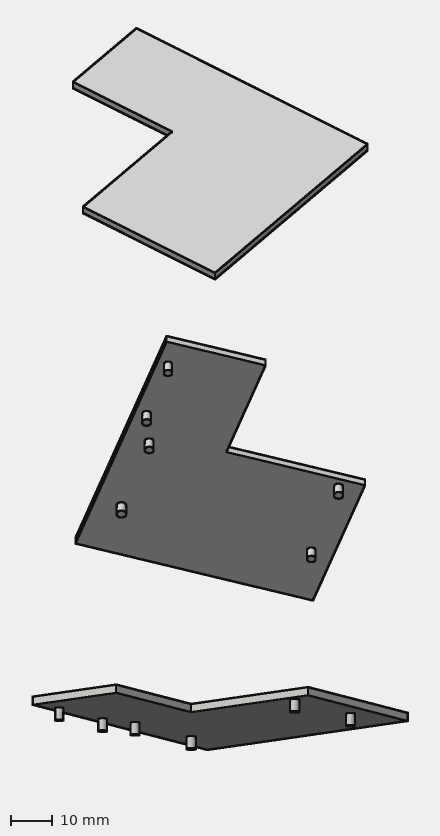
import cadquery as cq

plate_length = 70.0
plate_width = 60.0
plate_thickness = 2.0
notch_length = 30.0
notch_width = 35.0

total_height = 5.0
pin_length = total_height - plate_thickness

arm_pins = [
    (7.1, 57.3, 2.0),
    (24.15, 57.1, 2.2),
]

body_left_column = 32.55
body_pins = [
    (body_left_column, 5.9, 2.25),
    (54.45, 5.5, 2.1),
    (54.7, 53.4, 2.3),
    (body_left_column, 53.7, 2.2),
]


def make_plate():
    """L-shaped plate with its underside at Z = 0."""
    outline = [
        (0, notch_width),
        (notch_length, notch_width),
        (notch_length, 0),
        (plate_length, 0),
        (plate_length, plate_width),
        (0, plate_width),
    ]
    return cq.Workplane("XY").polyline(outline).close().extrude(plate_thickness)


def make_pin(x, y, diameter):
    """Round pin hanging from the underside of the plate."""
    return cq.Workplane("XY").center(x, y).circle(diameter / 2).extrude(-pin_length)


result = make_plate()
for x, y, diameter in arm_pins + body_pins:
    result = result.union(make_pin(x, y, diameter))